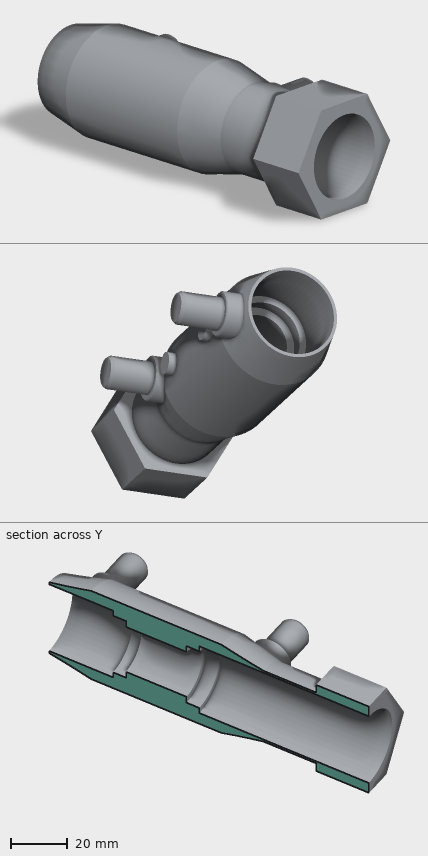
import cadquery as cq

total_length = 133.0
body_length = 89.1
taper_length = 17.5
nut_length = 22.0
body_middle = body_length / 2

body_radius = 21.0
neck_radius = 16.9
nut_across_corners = 47.3

pipe_bore_radius = 15.7
seat_radius = 13.3
passage_radius = 10.5
pipe_bore_depth = 26.6
seat_length = 5.3

stem_spacing = 67.0
stem_radius = 6.0
stem_tip = 40.0
stem_chamfer_length = 1.2
stem_chamfer_width = 0.8
collar_radius = 8.1
collar_bottom = 17.3
collar_chamfer = 0.4
pin_spacing = 35.4
pin_radius = 4.0
fitting_top = 23.8


def cylinder_x(radius, start, end):
    return cq.Workplane("YZ", origin=(start, 0, 0)).circle(radius).extrude(end - start)


def cylinder_y(radius, x, start, end):
    plane = cq.Plane(origin=(x, start, 0), xDir=(1, 0, 0), normal=(0, 1, 0))
    return cq.Workplane(plane).circle(radius).extrude(end - start)


def make_body():
    """Revolved body with a taper at both ends, running on into the neck."""
    return (
        cq.Workplane("XY")
        .moveTo(0, 0)
        .lineTo(0, neck_radius)
        .lineTo(taper_length, body_radius)
        .lineTo(body_length - taper_length, body_radius)
        .lineTo(body_length, neck_radius)
        .lineTo(total_length, neck_radius)
        .lineTo(total_length, 0)
        .close()
        .revolve(360, (0, 0, 0), (1, 0, 0))
    )


def make_nut():
    """Hexagonal nut with two corners on the Y axis."""
    nut_start = total_length - nut_length
    return (
        cq.Workplane("YZ", origin=(nut_start, 0, 0))
        .polygon(6, nut_across_corners)
        .extrude(nut_length)
    )


def make_stem(x):
    """Chamfered stem standing on a wider collar."""
    collar = cylinder_y(collar_radius, x, collar_bottom, fitting_top)
    collar = collar.faces(">Y").chamfer(collar_chamfer)
    stem = cylinder_y(stem_radius, x, collar_bottom, stem_tip)
    stem = stem.faces(">Y").edges().chamfer(stem_chamfer_length, stem_chamfer_width)
    return collar.union(stem)


def make_bore():
    """Passage with a seat and a pipe bore at each end of the body."""
    far_pipe_bore = body_length - pipe_bore_depth
    bore = cylinder_x(passage_radius, 0, total_length)
    bore = bore.union(
        cylinder_x(seat_radius, pipe_bore_depth, pipe_bore_depth + seat_length)
    )
    bore = bore.union(cylinder_x(seat_radius, far_pipe_bore - seat_length, far_pipe_bore))
    bore = bore.union(cylinder_x(pipe_bore_radius, 0, pipe_bore_depth))
    return bore.union(cylinder_x(pipe_bore_radius, far_pipe_bore, total_length))


result = make_body().union(make_nut())
for side in (-1, 1):
    result = result.union(make_stem(body_middle + side * stem_spacing / 2))
    pin_x = body_middle + side * pin_spacing / 2
    result = result.union(cylinder_y(pin_radius, pin_x, collar_bottom, fitting_top))
result = result.cut(make_bore())